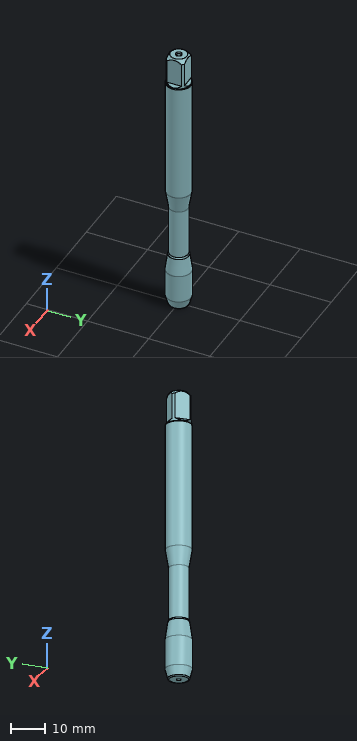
import cadquery as cq
import math

TOTAL_LENGTH = 90.0

HEAD_DIAMETER = 8.2
TIP_END_DIAMETER = 5.9
TIP_DIAMETER = 6.6
TIP_CONE_LENGTH = 0.4
LEAD_END_Z = 3.2
HEAD_STRAIGHT_TOP = 12.4
HEAD_SHOULDER_DIAMETER = 6.6
HEAD_SHOULDER_Z = 18.0
HEAD_BORE = 1.4

NECK_DIAMETER = 6.0
JOINT_Z = 18.5
NECK_TOP = 35.0
SHANK_START = 40.8
SHANK_DIAMETER = 8.0
SHANK_TOP = 79.8
SHANK_BORE = 1.5
CENTRE_DIAMETER = 2.0
CENTRE_ANGLE = 60

DRIVE_DIAMETER = 7.65
DRIVE_ACROSS_FLATS = 6.0
DRIVE_START = 80.1
FLAT_START = 81.0
DRIVE_END_DIAMETER = 5.3
END_CHAMFER_LENGTH = 1.3
FLAT_COUNT = 4


def turned_body(profile, bore):
    """Revolve (diameter, z) steps about Z and drill a through bore."""
    bottom = profile[0][1]
    top = profile[-1][1]
    points = [(bore / 2, bottom)]
    points += [(diameter / 2, z) for diameter, z in profile]
    points.append((bore / 2, top))
    return cq.Workplane("XZ").polyline(points).close().revolve(360, (0, 0), (0, 1))


def make_head():
    """Tapered cutting head with a lead cone at its tip."""
    return turned_body(
        [
            (TIP_END_DIAMETER, 0),
            (TIP_DIAMETER, TIP_CONE_LENGTH),
            (HEAD_DIAMETER, LEAD_END_Z),
            (HEAD_DIAMETER, HEAD_STRAIGHT_TOP),
            (HEAD_SHOULDER_DIAMETER, HEAD_SHOULDER_Z),
            (NECK_DIAMETER, JOINT_Z),
        ],
        HEAD_BORE,
    )


def flat_cutter():
    """Prism that cuts the +X drive flat, with a 45 degree run-out below it."""
    inner = DRIVE_ACROSS_FLATS / 2
    outer = SHANK_DIAMETER
    runout_end = FLAT_START - (outer - inner)
    return (
        cq.Workplane("XZ")
        .polyline([(inner, TOTAL_LENGTH), (inner, FLAT_START), (outer, runout_end), (outer, TOTAL_LENGTH)])
        .close()
        .extrude(SHANK_DIAMETER / 2, both=True)
    )


def centre_countersink():
    """60 degree cone that opens the bore at the drive end."""
    radius = CENTRE_DIAMETER / 2
    depth = radius / math.tan(math.radians(CENTRE_ANGLE / 2))
    return (
        cq.Workplane("XZ")
        .polyline([(0, TOTAL_LENGTH), (radius, TOTAL_LENGTH), (0, TOTAL_LENGTH - depth)])
        .close()
        .revolve(360, (0, 0), (0, 1))
    )


def make_shank():
    """Neck, shank and drive square."""
    shank = turned_body(
        [
            (NECK_DIAMETER, JOINT_Z),
            (NECK_DIAMETER, NECK_TOP),
            (SHANK_DIAMETER, SHANK_START),
            (SHANK_DIAMETER, SHANK_TOP),
            (DRIVE_DIAMETER, DRIVE_START),
            (DRIVE_DIAMETER, TOTAL_LENGTH - END_CHAMFER_LENGTH),
            (DRIVE_END_DIAMETER, TOTAL_LENGTH),
        ],
        SHANK_BORE,
    )
    for index in range(FLAT_COUNT):
        angle = index * 360 / FLAT_COUNT
        shank = shank.cut(flat_cutter().rotate((0, 0, 0), (0, 0, 1), angle))
    return shank.cut(centre_countersink())


head = make_head()
shank = make_shank()
result = cq.Compound.makeCompound([head.val(), shank.val()])